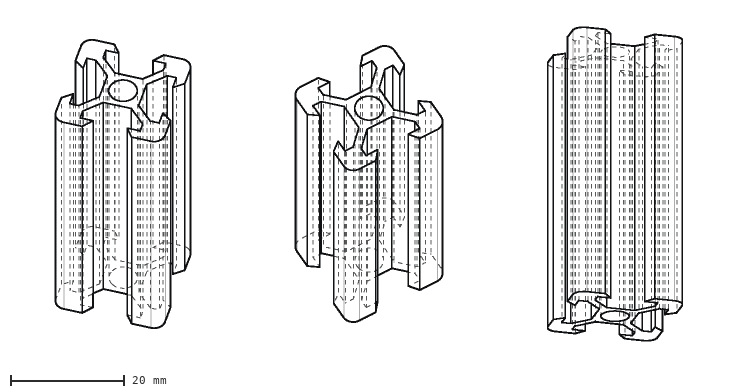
import cadquery as cq

width = 20.0
length = 50.0
corner_radius = 2.0
bore_diameter = 5.0

lip_thickness = 1.8
slot_half_width = 5.5
core_half_width = 3.6
web_offset = 1.05
throat_half_width = 3.1

wide_mouth = 4.6
narrow_mouth = 4.45

half_width = width / 2
lip_depth = half_width - lip_thickness
core_half_flat = core_half_width - web_offset
web_end = slot_half_width + web_offset


def slot(left_mouth, right_mouth):
    """Cutter for the slot in the +Y face, running the full length."""
    outline = [
        (-left_mouth, half_width),
        (-throat_half_width, lip_depth),
        (-slot_half_width, lip_depth),
        (-slot_half_width, web_end),
        (-core_half_flat, core_half_width),
        (core_half_flat, core_half_width),
        (slot_half_width, web_end),
        (slot_half_width, lip_depth),
        (throat_half_width, lip_depth),
        (right_mouth, half_width),
    ]
    return cq.Workplane("XY").polyline(outline).close().extrude(length)


result = (
    cq.Workplane("XY")
    .rect(width, width)
    .extrude(length)
    .edges("|Z")
    .fillet(corner_radius)
    .cut(cq.Workplane("XY").circle(bore_diameter / 2).extrude(length))
)

for quarter_turn in range(4):
    if quarter_turn % 2 == 0:
        cutter = slot(narrow_mouth, wide_mouth)
    else:
        cutter = slot(wide_mouth, narrow_mouth)
    result = result.cut(cutter.rotate((0, 0, 0), (0, 0, 1), 90 * quarter_turn))